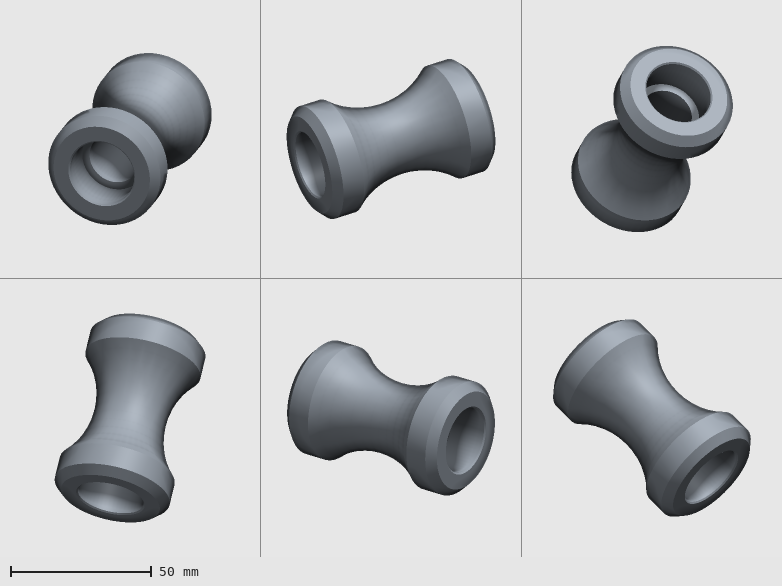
import cadquery as cq
import math

length = 65.0
rim_diameter = 42.0
rim_chamfer = 3.0

waist_diameter = 26.0
waist_arc_radius = 32.5

hole_diameter = 18.5
counterbore_diameter = 24.0
counterbore_depth = 14.5
counterbore_chamfer = 0.5

half_length = length / 2
rim_radius = rim_diameter / 2
waist_radius = waist_diameter / 2
hole_radius = hole_diameter / 2
counterbore_radius = counterbore_diameter / 2
mouth_radius = counterbore_radius + counterbore_chamfer

waist_depth = rim_radius - waist_radius
waist_half_span = math.sqrt(waist_arc_radius**2 - (waist_arc_radius - waist_depth) ** 2)

chamfer_start = half_length - rim_chamfer
counterbore_floor = half_length - counterbore_depth
mouth_start = half_length - counterbore_chamfer


def make_body():
    """Revolve the solid outer shape about the Y axis."""
    return (
        cq.Workplane("XY")
        .moveTo(0, -half_length)
        .lineTo(rim_radius - rim_chamfer, -half_length)
        .lineTo(rim_radius, -chamfer_start)
        .lineTo(rim_radius, -waist_half_span)
        .threePointArc((waist_radius, 0), (rim_radius, waist_half_span))
        .lineTo(rim_radius, chamfer_start)
        .lineTo(rim_radius - rim_chamfer, half_length)
        .lineTo(0, half_length)
        .close()
        .revolve(360, (0, 0, 0), (0, 1, 0))
    )


def make_bore():
    """Revolve the through hole with its two chamfered counterbores."""
    return (
        cq.Workplane("XY")
        .moveTo(0, -half_length)
        .lineTo(mouth_radius, -half_length)
        .lineTo(counterbore_radius, -mouth_start)
        .lineTo(counterbore_radius, -counterbore_floor)
        .lineTo(hole_radius, -counterbore_floor)
        .lineTo(hole_radius, counterbore_floor)
        .lineTo(counterbore_radius, counterbore_floor)
        .lineTo(counterbore_radius, mouth_start)
        .lineTo(mouth_radius, half_length)
        .lineTo(0, half_length)
        .close()
        .revolve(360, (0, 0, 0), (0, 1, 0))
    )


result = make_body().cut(make_bore())